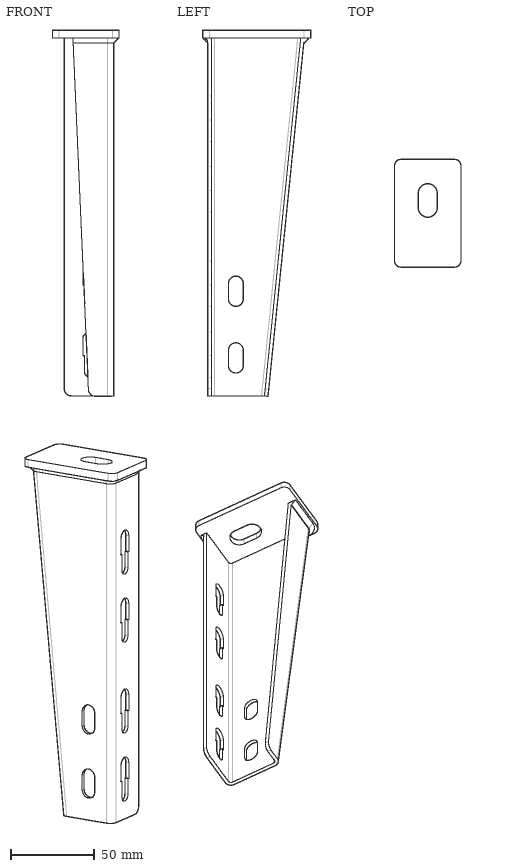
import cadquery as cq
import math

HEIGHT = 220.2

PLATE_WIDTH = 40.0
PLATE_DEPTH = 65.0
PLATE_THICKNESS = 4.8
PLATE_CORNER_RADIUS = 4.0
PLATE_SLOT_LENGTH = 20.0
PLATE_SLOT_WIDTH = 11.2
PLATE_SLOT_Y = 7.7
PLATE_BOTTOM = HEIGHT - PLATE_THICKNESS

SHEET = 2.2
INNER_BEND = 1.8
OUTER_BEND = INNER_BEND + SHEET
WEB_X = 17.0
FLANGE_TIP_X = -13.0
BACK_Y = 29.5
FRONT_TOP_Y = -28.6
FRONT_BOTTOM_Y = -6.8
FRONT_TIP_TOP_X = -7.7
FRONT_TIP_BOTTOM_X = 1.8
TIP_CORNER_RADIUS = 4.5
SPLIT_Y = 11.0
FRONT_SLOPE = (FRONT_BOTTOM_Y - FRONT_TOP_Y) / PLATE_BOTTOM
WEB_BOTTOM = SHEET * FRONT_SLOPE

WELD = 2.9

WEB_SLOT_LENGTH = 18.0
WEB_SLOT_WIDTH = 8.8
WEB_SLOT_Y = 12.5
WEB_SLOT_LOW_Z = 23.1
WEB_SLOT_PITCH = 40.0

KEYHOLE_X = 2.6
KEYHOLE_WIDE = 8.5
KEYHOLE_NARROW = 6.5
KEYHOLE_LENGTH = 27.3
KEYHOLE_STEP = 13.0
KEYHOLE_LOW_Z = 11.5
KEYHOLE_PAIR_PITCH = 42.5
KEYHOLE_GROUP_PITCH = 99.3

CLEARANCE = 11.0


def make_plate():
    """Rounded head plate with one slot."""
    plate = (
        cq.Workplane("XY", origin=(0, 0, PLATE_BOTTOM))
        .rect(PLATE_WIDTH, PLATE_DEPTH)
        .extrude(PLATE_THICKNESS)
        .edges("|Z")
        .fillet(PLATE_CORNER_RADIUS)
    )
    slot = (
        cq.Workplane("XY", origin=(0, PLATE_SLOT_Y, PLATE_BOTTOM))
        .slot2D(PLATE_SLOT_LENGTH, PLATE_SLOT_WIDTH, 90)
        .extrude(PLATE_THICKNESS)
    )
    return plate.cut(slot)


def channel_envelope():
    """Solid tapered block with both outer bends rounded."""
    web_end_y = FRONT_BOTTOM_Y + SHEET
    return (
        cq.Workplane("YZ", origin=(FLANGE_TIP_X, 0, 0))
        .polyline([
            (BACK_Y, WEB_BOTTOM),
            (BACK_Y, PLATE_BOTTOM),
            (FRONT_TOP_Y, PLATE_BOTTOM),
            (FRONT_BOTTOM_Y, 0),
            (web_end_y, WEB_BOTTOM),
        ])
        .close()
        .extrude(WEB_X - FLANGE_TIP_X)
        .faces(">X")
        .edges(">Y or <Y")
        .fillet(OUTER_BEND)
    )


def channel_cavity():
    """Space between the flanges, with both inner bends rounded."""
    normal_stretch = math.sqrt(1 + FRONT_SLOPE ** 2)
    inner_back_y = BACK_Y - SHEET
    inner_top_y = FRONT_TOP_Y + SHEET * normal_stretch
    inner_low_y = FRONT_BOTTOM_Y + SHEET * normal_stretch + CLEARANCE * FRONT_SLOPE
    start_x = FLANGE_TIP_X - CLEARANCE
    return (
        cq.Workplane("YZ", origin=(start_x, 0, 0))
        .polyline([
            (inner_back_y, -CLEARANCE),
            (inner_back_y, PLATE_BOTTOM),
            (inner_top_y, PLATE_BOTTOM),
            (inner_low_y, -CLEARANCE),
        ])
        .close()
        .extrude(WEB_X - SHEET - start_x)
        .faces(">X")
        .edges(">Y or <Y")
        .fillet(INNER_BEND)
    )


def weld_bead():
    """Block with 45 degree sides that widens upward to the plate."""
    length_x = WEB_X - FLANGE_TIP_X + 2 * WELD
    length_y = BACK_Y - FRONT_TOP_Y + 2 * WELD
    center_x = (WEB_X + FLANGE_TIP_X) / 2
    center_y = (BACK_Y + FRONT_TOP_Y) / 2
    outline = cq.Sketch().rect(length_x, length_y).vertices().fillet(OUTER_BEND + WELD)
    return (
        cq.Workplane("XY", origin=(center_x, center_y, PLATE_BOTTOM))
        .placeSketch(outline)
        .extrude(-WELD, taper=45)
    )


def flange_outline(tip_top_x, tip_bottom_x, bottom_z, y_start, y_end):
    """Block that keeps one flange: free edge on -X with a rounded lower corner."""
    right_x = WEB_X + CLEARANCE
    return (
        cq.Workplane("XZ", origin=(0, y_end, 0))
        .polyline([
            (tip_top_x, PLATE_BOTTOM),
            (tip_bottom_x, bottom_z),
            (right_x, bottom_z),
            (right_x, PLATE_BOTTOM),
        ])
        .close()
        .extrude(y_end - y_start)
        .edges(cq.selectors.NearestToPointSelector((tip_bottom_x, (y_start + y_end) / 2, bottom_z)))
        .fillet(TIP_CORNER_RADIUS)
    )


def web_slots():
    """Two slots through the web."""
    centers = [(WEB_SLOT_Y, WEB_SLOT_LOW_Z + i * WEB_SLOT_PITCH) for i in range(2)]
    return (
        cq.Workplane("YZ", origin=(WEB_X - CLEARANCE, 0, 0))
        .pushPoints(centers)
        .slot2D(WEB_SLOT_LENGTH, WEB_SLOT_WIDTH, 90)
        .extrude(2 * CLEARANCE)
    )


def keyhole(bottom_z):
    """One stepped slot through the back flange."""
    wide = KEYHOLE_WIDE / 2
    narrow = KEYHOLE_NARROW / 2
    step_z = bottom_z + KEYHOLE_STEP
    top_z = bottom_z + KEYHOLE_LENGTH
    return (
        cq.Workplane("XZ", origin=(0, BACK_Y + CLEARANCE, 0))
        .moveTo(KEYHOLE_X - narrow, bottom_z + narrow)
        .threePointArc((KEYHOLE_X, bottom_z), (KEYHOLE_X + narrow, bottom_z + narrow))
        .lineTo(KEYHOLE_X + narrow, step_z)
        .lineTo(KEYHOLE_X + wide, step_z)
        .lineTo(KEYHOLE_X + wide, top_z - wide)
        .threePointArc((KEYHOLE_X, top_z), (KEYHOLE_X - wide, top_z - wide))
        .lineTo(KEYHOLE_X - wide, step_z)
        .lineTo(KEYHOLE_X - narrow, step_z)
        .close()
        .extrude(2 * CLEARANCE)
    )


def make_channel():
    """Bent tapered channel with its weld bead and all slots."""
    back_outline = flange_outline(
        FLANGE_TIP_X, FLANGE_TIP_X, WEB_BOTTOM, SPLIT_Y, BACK_Y + CLEARANCE
    )
    front_outline = flange_outline(
        FRONT_TIP_TOP_X, FRONT_TIP_BOTTOM_X, 0, FRONT_TOP_Y - CLEARANCE, SPLIT_Y
    )
    channel = channel_envelope().union(weld_bead()).cut(channel_cavity())
    channel = channel.intersect(back_outline.union(front_outline))
    channel = channel.cut(web_slots())
    for group in range(2):
        for slot in range(2):
            bottom_z = KEYHOLE_LOW_Z + group * KEYHOLE_GROUP_PITCH + slot * KEYHOLE_PAIR_PITCH
            channel = channel.cut(keyhole(bottom_z))
    return channel


plate = make_plate()
channel = make_channel()
result = cq.Compound.makeCompound([plate.val(), *channel.solids().vals()])